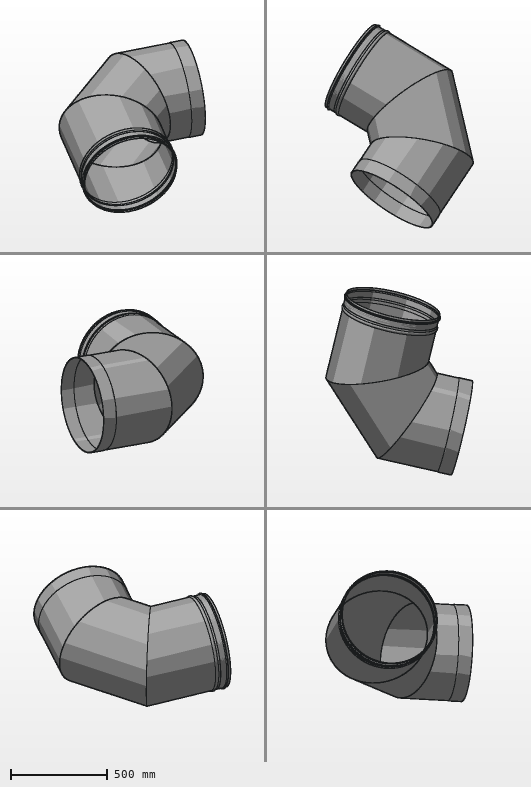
import cadquery as cq
import math


OVERALL_LENGTH = 823.0
TUBE_DIAMETER = 502.0
BORE_DIAMETER = 497.0
BEND_ANGLE = 90.0
MITRE_OFFSET = 207.0
COLLAR_REACH = 500.0

COLLAR_DIAMETER = 505.0
COLLAR_LENGTH = 74.0
COLLAR_TAPER = 6.5

BEAD_DIAMETER = 512.5
BEAD_WIDTH = 17.0
BEAD_SETBACK = 75.0

SEAT_DIAMETER = 499.0
GASKET_DIAMETER = 501.0
GASKET_FRONT_SETBACK = 12.0
GASKET_REAR_SETBACK = 55.0
RIDGE_DIAMETER = 502.0
RIDGE_SETBACKS = (51.0, 38.0, 30.5)
RIDGE_HALF_WIDTH = 3.0
LIP_DIAMETER = 515.0
LIP_SETBACK = 17.0
LIP_REAR_WIDTH = 5.0
LIP_FRONT_WIDTH = 2.5

TUBE_RADIUS = TUBE_DIAMETER / 2
BORE_RADIUS = BORE_DIAMETER / 2
COLLAR_RADIUS = COLLAR_DIAMETER / 2
SEAT_RADIUS = SEAT_DIAMETER / 2
GASKET_RADIUS = GASKET_DIAMETER / 2
SPIGOT_REACH = OVERALL_LENGTH - COLLAR_RADIUS
GASKET_REAR = SPIGOT_REACH - GASKET_REAR_SETBACK
GASKET_FRONT = SPIGOT_REACH - GASKET_FRONT_SETBACK
MITRE_TILT = math.radians(BEND_ANGLE / 4)
MITRE_SPACING = MITRE_OFFSET * math.sqrt(2)


def revolve_about_x(points):
    """Solid of revolution from (axial, radial) points."""
    return cq.Workplane("XY").polyline(points).close().revolve(360, (0, 0, 0), (1, 0, 0))


def ring(rear, front, inner_radius, outer_radius):
    """Plain ring about the X axis."""
    return revolve_about_x([
        (rear, inner_radius),
        (front, inner_radius),
        (front, outer_radius),
        (rear, outer_radius),
    ])


def swap_ends(body):
    """Turn a body built along X so that it lies along Y."""
    return body.rotate((0, 0, 0), (1, 1, 0), 180)


def mitre_block():
    """Block that fills the spigot side of the mitre plane."""
    reach = 2 * TUBE_DIAMETER
    lean = reach * math.tan(MITRE_TILT)
    far = MITRE_OFFSET + 2 * reach
    return (
        cq.Workplane("XY", origin=(0, 0, -reach))
        .polyline([
            (MITRE_OFFSET - lean, -reach),
            (far, -reach),
            (far, reach),
            (MITRE_OFFSET + lean, reach),
        ])
        .close()
        .extrude(2 * reach)
    )


def mitred_tube(reach):
    """Tube along +X from the mitre plane to its open end."""
    return ring(-reach, reach, BORE_RADIUS, TUBE_RADIUS).intersect(mitre_block())


def bead():
    """Rounded bead that stops the mating duct."""
    crest = SPIGOT_REACH - BEAD_SETBACK
    rear = crest - BEAD_WIDTH / 2
    front = crest + BEAD_WIDTH / 2
    return (
        cq.Workplane("XY")
        .moveTo(rear, BORE_RADIUS)
        .lineTo(rear, TUBE_RADIUS)
        .threePointArc((crest, BEAD_DIAMETER / 2), (front, TUBE_RADIUS))
        .lineTo(front, BORE_RADIUS)
        .close()
        .revolve(360, (0, 0, 0), (1, 0, 0))
    )


def make_spigot_tube():
    seat = ring(GASKET_REAR, GASKET_FRONT, SEAT_RADIUS, COLLAR_RADIUS)
    return mitred_tube(SPIGOT_REACH).union(bead()).cut(seat)


def make_middle_tube():
    overrun = TUBE_RADIUS
    tube = ring(-MITRE_SPACING - overrun, overrun, BORE_RADIUS, TUBE_RADIUS)
    tube = tube.rotate((0, 0, 0), (0, 0, 1), -BEND_ANGLE / 2).translate((MITRE_OFFSET, 0, 0))
    return tube.cut(mitre_block()).cut(swap_ends(mitre_block()))


def make_collar_tube():
    return swap_ends(mitred_tube(COLLAR_REACH))


def make_collar():
    """Sleeve around the collar tube, tapered down to the tube at its inner edge."""
    rear = COLLAR_REACH - COLLAR_LENGTH
    return swap_ends(revolve_about_x([
        (rear, TUBE_RADIUS),
        (COLLAR_REACH, TUBE_RADIUS),
        (COLLAR_REACH, COLLAR_RADIUS),
        (rear + COLLAR_TAPER, COLLAR_RADIUS),
    ]))


def gasket_rib(setback, tip_diameter, rear_width, front_width):
    """Pointed ring that stands on the gasket seat."""
    tip = SPIGOT_REACH - setback
    return revolve_about_x([
        (tip - rear_width, SEAT_RADIUS),
        (tip - rear_width, GASKET_RADIUS),
        (tip, tip_diameter / 2),
        (tip + front_width, GASKET_RADIUS),
        (tip + front_width, SEAT_RADIUS),
    ])


def make_gasket():
    body = ring(GASKET_REAR, GASKET_FRONT, SEAT_RADIUS, GASKET_RADIUS)
    for setback in RIDGE_SETBACKS:
        body = body.union(gasket_rib(setback, RIDGE_DIAMETER, RIDGE_HALF_WIDTH, RIDGE_HALF_WIDTH))
    return body.union(gasket_rib(LIP_SETBACK, LIP_DIAMETER, LIP_REAR_WIDTH, LIP_FRONT_WIDTH))


spigot_tube = make_spigot_tube()
middle_tube = make_middle_tube()
collar_tube = make_collar_tube()
collar = make_collar()
gasket = make_gasket()

result = cq.Compound.makeCompound([
    spigot_tube.solids().val(),
    middle_tube.solids().val(),
    collar_tube.solids().val(),
    collar.solids().val(),
    gasket.solids().val(),
])